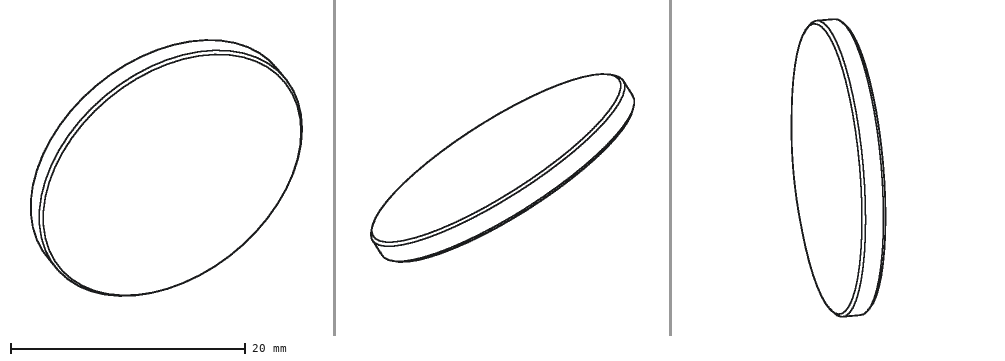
import cadquery as cq

diameter = 25.4
center_thickness = 3.8
rim_thickness = 2.08
bevel = 0.25

radius = diameter / 2
face_radius = radius - bevel
dome_height = center_thickness - rim_thickness
sphere_radius = (face_radius**2 + dome_height**2) / (2 * dome_height)

mid_radius = face_radius / 2
mid_x = center_thickness - sphere_radius + (sphere_radius**2 - mid_radius**2) ** 0.5

half_section = (
    cq.Workplane("XY")
    .lineTo(0, face_radius)
    .lineTo(bevel, radius)
    .lineTo(rim_thickness - bevel, radius)
    .lineTo(rim_thickness, face_radius)
    .threePointArc((mid_x, mid_radius), (center_thickness, 0))
    .close()
)

result = half_section.revolve(360, (0, 0, 0), (1, 0, 0))